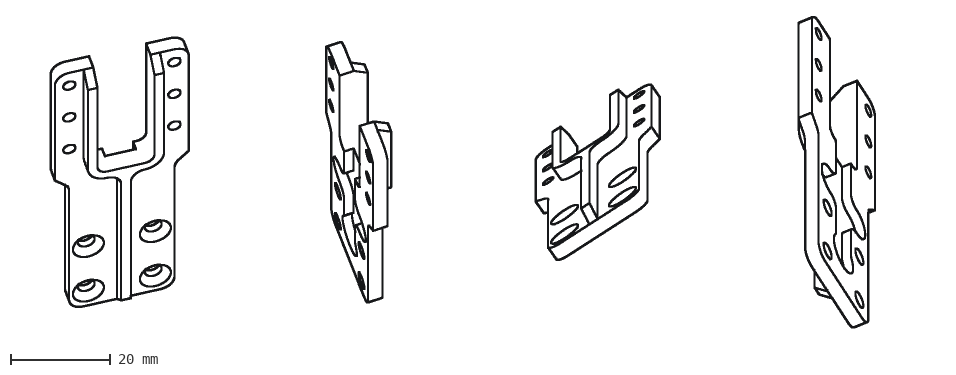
import cadquery as cq
import math

height = 74.5
thickness = 6.0
plate_thickness = 3.05
head_width = 28.0
stem_width = 22.05

corner_radius = 3.0
shoulder_top = 41.6
shoulder_drop = (head_width - stem_width) / 2

slot_width = 11.9
slot_depth = 29.95
slot_radius = 2.0
slot_floor = height - slot_depth

rib_wall = 2.0
rib_width = slot_width + 2 * rib_wall
rib_fork_radius = slot_radius + rib_wall
rib_fillet = 3.0
rib_fork_bottom = slot_floor - rib_wall
rib_end_chamfer = thickness - plate_thickness

arm_hole_diameter = 2.5
arm_hole_spacing = 22.0
arm_hole_top_offset = 4.0
arm_hole_pitch = 10.0
arm_hole_count = 3
stem_hole_diameter = 3.5
countersink_depth = 1.5
stem_hole_pitch = 14.0
stem_hole_bottom_offset = 4.6

pocket_depth = 2.0
channel_width = 6.5
bulb_radius = 4.25
bulb_height = 11.6
bulb_fillet = 2.0
lobe_length = 19.2
lobe_width = 7.45
lobe_height = 28.6
lobe_fillet = 2.5


def block(width, bottom, top, front, back):
    """Box centred on Y, between two heights and two X positions."""
    base = cq.Workplane("XY", origin=(front, 0, bottom))
    return base.box(back - front, width, top - bottom, centered=(False, True, False))


def edges_at_height(level, half_width):
    """Selector for the X-parallel edges at +/-half_width in Y and at one height."""
    margin = 0.1
    selectors = [
        cq.selectors.BoxSelector(
            (-margin, side * half_width - margin, level - margin),
            (thickness + margin, side * half_width + margin, level + margin),
        )
        for side in (-1, 1)
    ]
    return selectors[0] + selectors[1]


def make_plate():
    half_head = head_width / 2
    half_stem = stem_width / 2
    shoulder_bottom = shoulder_top - shoulder_drop
    plate = (
        cq.Workplane("YZ")
        .polyline(
            [
                (-half_stem, 0),
                (half_stem, 0),
                (half_stem, shoulder_bottom),
                (half_head, shoulder_top),
                (half_head, height),
                (-half_head, height),
                (-half_head, shoulder_top),
                (-half_stem, shoulder_bottom),
            ]
        )
        .close()
        .extrude(plate_thickness)
    )
    plate = plate.edges("|X and (<Z or >Z)").fillet(corner_radius)
    return plate.edges(edges_at_height(shoulder_bottom, half_stem)).fillet(corner_radius)


def make_rib():
    fork = block(rib_width, rib_fork_bottom, height, plate_thickness, thickness)
    fork = fork.edges("|X and <Z").fillet(rib_fork_radius)
    spine = block(rib_wall, 0, height, plate_thickness, thickness)
    rib = fork.union(spine)
    rib = rib.edges(edges_at_height(rib_fork_bottom, rib_wall / 2)).fillet(rib_fillet)
    side_profile = (
        cq.Workplane("XZ")
        .polyline(
            [
                (plate_thickness, 0),
                (thickness, rib_end_chamfer),
                (thickness, height - rib_end_chamfer),
                (plate_thickness, height),
            ]
        )
        .close()
        .extrude(rib_width / 2, both=True)
    )
    return rib.intersect(side_profile)


def make_slot():
    slot = block(slot_width, slot_floor, height, 0, thickness)
    return slot.edges("|X and <Z").fillet(slot_radius)


def make_pocket():
    channel = block(channel_width, bulb_height, slot_floor, 0, pocket_depth)
    bulb = cq.Workplane("YZ").center(0, bulb_height).circle(bulb_radius).extrude(pocket_depth)
    lobes = cq.Workplane("YZ").center(0, lobe_height).slot2D(lobe_length, lobe_width).extrude(pocket_depth)
    pocket = channel.union(bulb).union(lobes)

    half_channel = channel_width / 2
    bulb_neck = bulb_height + math.sqrt(bulb_radius**2 - half_channel**2)
    pocket = pocket.edges(edges_at_height(bulb_neck, half_channel)).fillet(bulb_fillet)
    for side in (-1, 1):
        lobe_edge = lobe_height + side * lobe_width / 2
        pocket = pocket.edges(edges_at_height(lobe_edge, half_channel)).fillet(lobe_fillet)
    return pocket


def make_holes():
    arm_points = [
        (side * arm_hole_spacing / 2, height - arm_hole_top_offset - row * arm_hole_pitch)
        for side in (-1, 1)
        for row in range(arm_hole_count)
    ]
    stem_points = [
        (side * stem_hole_pitch / 2, stem_hole_bottom_offset + row * stem_hole_pitch)
        for side in (-1, 1)
        for row in range(2)
    ]
    arm_holes = cq.Workplane("YZ").pushPoints(arm_points).circle(arm_hole_diameter / 2).extrude(thickness)
    stem_holes = cq.Workplane("YZ").pushPoints(stem_points).circle(stem_hole_diameter / 2).extrude(thickness)
    countersinks = (
        cq.Workplane("YZ", origin=(plate_thickness - countersink_depth, 0, 0))
        .pushPoints(stem_points)
        .circle(stem_hole_diameter / 2)
        .extrude(countersink_depth, taper=-45)
    )
    return arm_holes.union(stem_holes).union(countersinks)


result = make_plate().union(make_rib()).cut(make_slot()).cut(make_pocket()).cut(make_holes())